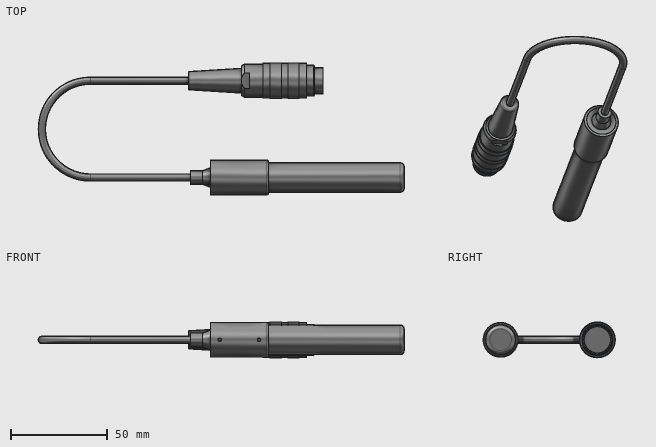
import cadquery as cq

TOTAL_LENGTH = 188.8
TOTAL_WIDTH = 68.2
SLEEVE_DIA = 18.0
BAND_DIA = 18.5
AXIS_SPACING = TOTAL_WIDTH - (SLEEVE_DIA + BAND_DIA) / 2

CABLE_DIA = 3.8
BEND_RADIUS = AXIS_SPACING / 2
BEND_CENTRE_X = BEND_RADIUS + CABLE_DIA / 2

GLAND_START_X = 78.5
GLAND_DIA = 7.0
GLAND_CONE_START_X = 84.8
GLAND_BASE_DIA = 10.0

SLEEVE_START_X = 88.7
SLEEVE_LENGTH = 30.0
SLEEVE_FILLET = 1.0
SCREW_HOLE_DIA = 1.7
SCREW_HOLE_END_DISTANCE = 5.0

TUBE_DIA = 15.3
TUBE_FILLET = 2.0

BOOT_START_X = 77.5
BOOT_START_DIA = 9.5
BOOT_END_DIA = 12.8
BOOT_FILLET = 0.8

NUT_START_X = 104.8
NUT_DIA = 17.2
NUT_CHAMFER_LENGTH = 1.7
NUT_CHAMFER_DEPTH = 1.0
FLAT_LENGTH = 4.2
FLAT_ACROSS = 15.1

SHELL_START_X = 116.0
SHELL_DIA = 18.1
SHELL_END_X = 138.4
BAND_LENGTH = 5.9
BAND_STARTS_X = (119.5, 128.8)
SHOULDER_DIA = 16.0
SHOULDER_END_X = 142.5
SHOULDER_CHAMFER = 0.5
NOSE_DIA = 13.5
NOSE_END_X = 146.9


def cylinder(start_x, end_x, diameter, axis_y=0.0):
    """Solid cylinder along X between two X positions."""
    return (
        cq.Workplane("YZ", origin=(start_x, axis_y, 0))
        .circle(diameter / 2)
        .extrude(end_x - start_x)
    )


def cone(start_x, end_x, start_dia, end_dia, axis_y=0.0):
    """Solid truncated cone along X."""
    return (
        cq.Workplane("YZ", origin=(start_x, axis_y, 0))
        .circle(start_dia / 2)
        .workplane(offset=end_x - start_x)
        .circle(end_dia / 2)
        .loft(ruled=True)
    )


def make_cable():
    """U-shaped cable from the gland face round to the boot face."""
    path = (
        cq.Workplane("XY")
        .moveTo(GLAND_START_X, 0)
        .lineTo(BEND_CENTRE_X, 0)
        .threePointArc((BEND_CENTRE_X - BEND_RADIUS, BEND_RADIUS), (BEND_CENTRE_X, AXIS_SPACING))
        .lineTo(BOOT_START_X, AXIS_SPACING)
    )
    return cq.Workplane("YZ", origin=(GLAND_START_X, 0, 0)).circle(CABLE_DIA / 2).sweep(path)


def make_gland():
    """Short spigot that flares to a conical base on the end of the tube."""
    spigot = cylinder(GLAND_START_X, GLAND_CONE_START_X, GLAND_DIA)
    base = cone(GLAND_CONE_START_X, SLEEVE_START_X, GLAND_DIA, GLAND_BASE_DIA)
    return spigot.union(base)


def make_sleeve():
    """Ring around the tube, rounded in front, with two radial screw holes in its -Y wall."""
    end_x = SLEEVE_START_X + SLEEVE_LENGTH
    sleeve = cylinder(SLEEVE_START_X, end_x, SLEEVE_DIA).faces(">X").edges().fillet(SLEEVE_FILLET)
    sleeve = sleeve.cut(cylinder(SLEEVE_START_X, end_x, TUBE_DIA))
    for hole_x in (SLEEVE_START_X + SCREW_HOLE_END_DISTANCE, end_x - SCREW_HOLE_END_DISTANCE):
        hole = (
            cq.Workplane("XZ", origin=(hole_x, 0, 0))
            .circle(SCREW_HOLE_DIA / 2)
            .extrude(SLEEVE_DIA)
        )
        sleeve = sleeve.cut(hole)
    return sleeve


def make_tube():
    """Long probe tube, flush with the sleeve at the rear and rounded at the tip."""
    return cylinder(SLEEVE_START_X, TOTAL_LENGTH, TUBE_DIA).faces(">X").edges().fillet(TUBE_FILLET)


def make_boot():
    """Tapered strain relief, rounded where the cable enters."""
    boot = cone(BOOT_START_X, NUT_START_X, BOOT_START_DIA, BOOT_END_DIA, AXIS_SPACING)
    return boot.faces("<X").edges().fillet(BOOT_FILLET)


def make_nut():
    """Chamfered nut with two wrench flats, one above and one below."""
    chamfer_end_x = NUT_START_X + NUT_CHAMFER_LENGTH
    chamfer_dia = NUT_DIA - 2 * NUT_CHAMFER_DEPTH
    nut = cone(NUT_START_X, chamfer_end_x, chamfer_dia, NUT_DIA, AXIS_SPACING)
    nut = nut.union(cylinder(chamfer_end_x, SHELL_START_X, NUT_DIA, AXIS_SPACING))
    for side in (1, -1):
        waste = cq.Workplane("XY").box(FLAT_LENGTH, NUT_DIA, NUT_DIA, centered=(False, True, True))
        waste_z = side * (FLAT_ACROSS + NUT_DIA) / 2
        nut = nut.cut(waste.translate((NUT_START_X, AXIS_SPACING, waste_z)))
    return nut


def make_shell():
    """Plug shell with two raised grip bands, a chamfered shoulder and a plain nose."""
    shell = cylinder(SHELL_START_X, SHELL_END_X, SHELL_DIA, AXIS_SPACING)
    for band_x in BAND_STARTS_X:
        shell = shell.union(cylinder(band_x, band_x + BAND_LENGTH, BAND_DIA, AXIS_SPACING))
    shoulder = cylinder(SHELL_END_X, SHOULDER_END_X, SHOULDER_DIA, AXIS_SPACING)
    shell = shell.union(shoulder.faces(">X").chamfer(SHOULDER_CHAMFER))
    return shell.union(cylinder(SHOULDER_END_X, NOSE_END_X, NOSE_DIA, AXIS_SPACING))


cable = make_cable()
gland = make_gland()
sleeve = make_sleeve()
tube = make_tube()
boot = make_boot()
nut = make_nut()
shell = make_shell()

result = cq.Compound.makeCompound(
    [
        cable.val(),
        gland.val(),
        sleeve.val(),
        tube.val(),
        boot.val(),
        nut.val(),
        shell.val(),
    ]
)